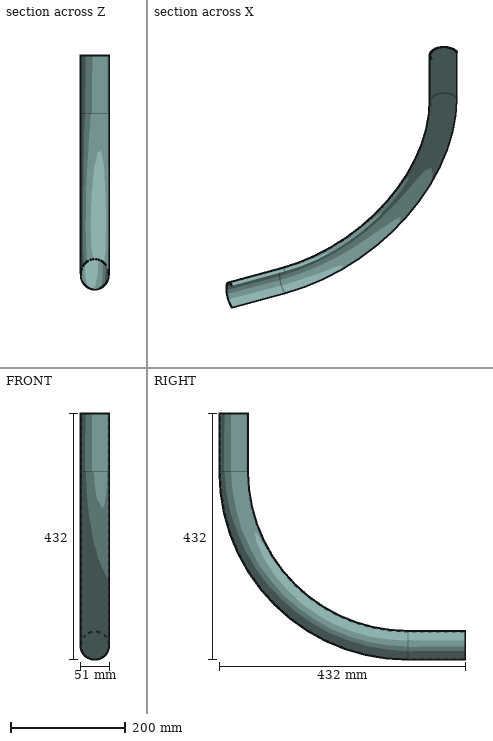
import cadquery as cq
import math

overall_size = 432.0
outer_diameter = 51.0
inner_diameter = 47.5
straight_length = 101.5

outer_radius = outer_diameter / 2
bend_radius = overall_size - outer_radius - straight_length


def centreline():
    """Path in the YZ plane: down the upright leg, round the bend, out along +Y."""
    bend_offset = bend_radius * (1 - math.cos(math.radians(45)))
    bend_middle = (bend_offset, bend_offset)
    return (
        cq.Workplane("YZ")
        .moveTo(0, bend_radius + straight_length)
        .lineTo(0, bend_radius)
        .threePointArc(bend_middle, (bend_radius, 0))
        .lineTo(bend_radius + straight_length, 0)
    )


ring = (
    cq.Workplane("XY")
    .workplane(offset=bend_radius + straight_length)
    .circle(outer_radius)
    .circle(inner_diameter / 2)
)
result = ring.sweep(centreline())